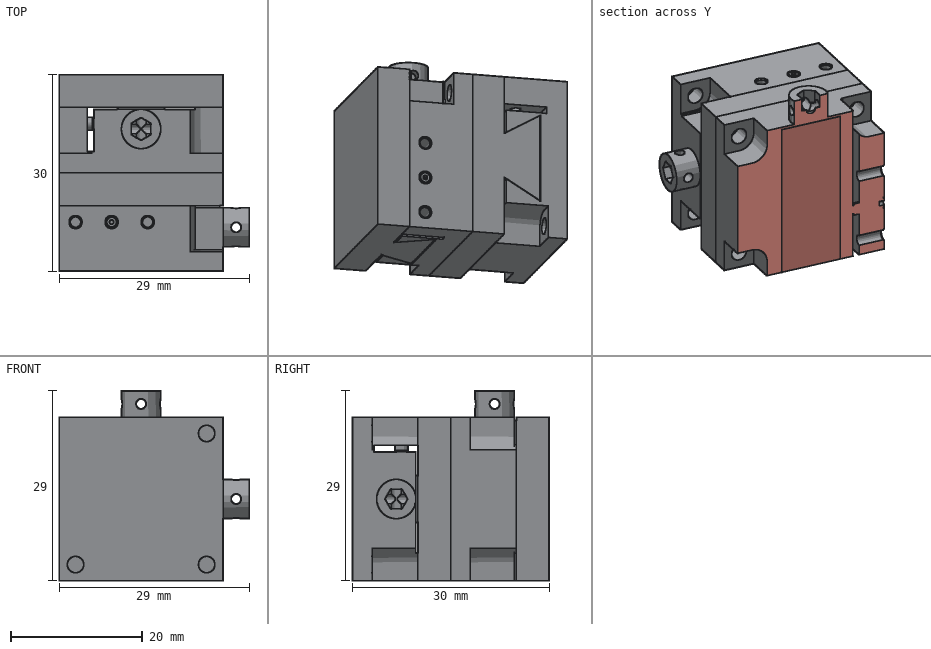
import cadquery as cq
import math


side = 25.0
half = side / 2
carriage_depth = 10.0
plate_depth = 5.0
slide_depth = carriage_depth + plate_depth

neck_half_width = 3.5
flank_angle = 30.0
flank_slope = math.tan(math.radians(flank_angle))
rail_height = 5.65
groove_depth = 5.8
end_wall = 0.5

jaw_gap = 0.3
jaw_half_width = 8.2
slot_width = 1.0
flange_depth = 3.0
slot_floor_y = flange_depth + jaw_gap

notch_size = 5.0
notch_radius = 2.5
hole_inset = 2.5
mounting_diameter = 2.5
notch_corners = [(-1, 1), (1, 1), (1, -1)]

tapped_diameter = 1.6
thread_diameter = 2.0
countersink = (thread_diameter - tapped_diameter) / 2
tapped_y = 7.5
tapped_first_z = -half + hole_inset
tapped_count = 3
tapped_pitch = 5.5
tapped_depth = half - jaw_half_width
screw_chamfer = 0.25
screw_socket_diameter = 0.65
screw_socket_depth = 0.8

knob_diameter = 6.0
knob_length = 4.0
knob_y = carriage_depth - jaw_gap - knob_diameter / 2
cross_hole_diameter = 1.5
cross_hole_z = half + knob_length / 2
hex_flats = 3.0
hex_depth = knob_length / 2


def box(x_range, y_range, z_range):
    """Axis-aligned block between the given limits."""
    size = [high - low for low, high in (x_range, y_range, z_range)]
    corner = (x_range[0], y_range[0], z_range[0])
    return cq.Workplane("XY").box(*size, centered=False).translate(corner)


def cylinder(diameter, length, start, direction):
    """Round bar of the given length from a start point along a direction."""
    solid = cq.Solid.makeCylinder(diameter / 2, length, cq.Vector(*start), cq.Vector(*direction))
    return cq.Workplane(solid)


def dovetail(height):
    """Dovetail prism reaching `height` below the joint face, from the -Z face to the end wall."""
    wide_half = neck_half_width + height * flank_slope
    base_y = carriage_depth - height
    profile = [
        (-neck_half_width, carriage_depth),
        (neck_half_width, carriage_depth),
        (wide_half, base_y),
        (-wide_half, base_y),
    ]
    return cq.Workplane("XY", origin=(0, 0, -half)).polyline(profile).close().extrude(side - end_wall)


def corner_notch(x_side, z_side):
    """Square corner pocket with a round inner corner, plus the mounting hole through its flange."""
    centre = half - notch_size / 2
    pocket_depth = carriage_depth - flange_depth
    pocket = (
        cq.Workplane("XY")
        .box(notch_size, pocket_depth, notch_size, centered=(True, False, True))
        .translate((x_side * centre, flange_depth, z_side * centre))
    )
    inner_x = "<X" if x_side > 0 else ">X"
    inner_z = "<Z" if z_side > 0 else ">Z"
    pocket = pocket.faces(inner_x).edges(inner_z).fillet(notch_radius)
    hole_start = (x_side * (half - hole_inset), 0, z_side * (half - hole_inset))
    return pocket.union(cylinder(mounting_diameter, carriage_depth, hole_start, (0, 1, 0)))


def tapped_hole(z):
    """Countersunk hole from the -X face into the slot."""
    bore = cylinder(tapped_diameter, tapped_depth, (-half, tapped_y, z), (1, 0, 0))
    sink = cq.Solid.makeCone(
        thread_diameter / 2,
        tapped_diameter / 2,
        countersink,
        cq.Vector(-half, tapped_y, z),
        cq.Vector(1, 0, 0),
    )
    return bore.union(cq.Workplane(sink))


def gib_screw(z):
    """Socket set screw that bridges the slot and bears on the adjustable jaw."""
    head = (-half, tapped_y, z)
    screw = cylinder(thread_diameter, tapped_depth + slot_width, head, (1, 0, 0))
    screw = screw.faces("<X or >X").edges().chamfer(screw_chamfer)
    socket = cylinder(screw_socket_diameter, screw_socket_depth, head, (1, 0, 0))
    return screw.cut(socket)


def drive_knob():
    """Knob with a hexagon socket and two crossing tommy-bar holes."""
    knob = cylinder(knob_diameter, knob_length, (0, knob_y, half), (0, 0, 1))
    socket = (
        cq.Workplane("XY")
        .polygon(6, hex_flats, circumscribed=True)
        .extrude(hex_depth)
        .translate((0, knob_y, half + knob_length - hex_depth))
    )
    knob = knob.cut(socket)
    radius = knob_diameter / 2
    knob = knob.cut(cylinder(cross_hole_diameter, knob_diameter, (-radius, knob_y, cross_hole_z), (1, 0, 0)))
    return knob.cut(cylinder(cross_hole_diameter, knob_diameter, (0, knob_y - radius, cross_hole_z), (0, 1, 0)))


def make_carriage():
    """Grooved block with its jaws, gib screw and drive knob."""
    body = box((-half, half), (0, carriage_depth), (-half, half))
    body = body.cut(dovetail(groove_depth))
    gap_y = (carriage_depth - jaw_gap, carriage_depth)
    body = body.cut(box((-jaw_half_width, jaw_half_width), gap_y, (-half, half)))
    slot_x = (-jaw_half_width, slot_width - jaw_half_width)
    body = body.cut(box(slot_x, (slot_floor_y, carriage_depth), (-half, half)))
    for x_side, z_side in notch_corners:
        body = body.cut(corner_notch(x_side, z_side))
    for index in range(tapped_count):
        body = body.cut(tapped_hole(tapped_first_z + index * tapped_pitch))
    body = body.union(gib_screw(tapped_first_z + tapped_pitch))
    return body.union(drive_knob())


def make_rail():
    """Flat plate carrying the dovetail that runs in the carriage groove."""
    plate = box((-half, half), (carriage_depth, slide_depth), (-half, half))
    return plate.union(dovetail(rail_height))


bodies = []
for turn, y_shift in [(0, 0), (90, -slide_depth)]:
    for body in (make_carriage(), make_rail()):
        placed = body.rotate((0, 0, 0), (0, 1, 0), turn).translate((0, y_shift, 0))
        bodies.append(placed.val())

result = cq.Compound.makeCompound(bodies)